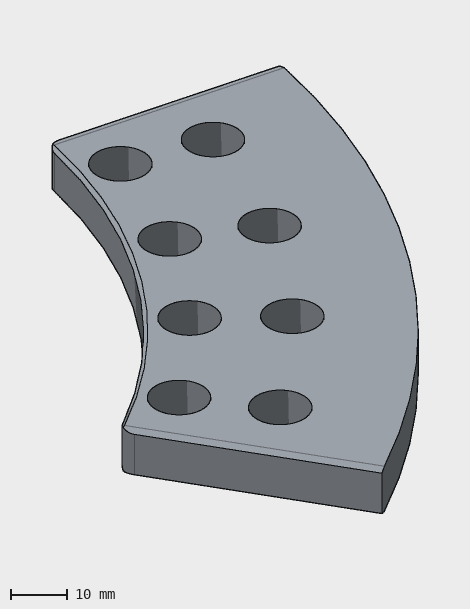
import cadquery as cq
import math

span_y = 122.1
sector_angle = 47.7
thickness = 9.5
outer_radius = span_y / math.sin(math.radians(sector_angle))
inner_radius = 116.5
corner_radius = 3.0

end_break_width = 1.6
end_break_height = 0.5
inner_break = 0.7

hole_diameter = 11.2
hole_circle_radii = (124.7, 142.8)
hole_pair_count = 4


def polar_point(radius, angle):
    """Point in the XY plane at the given radius and angle in degrees."""
    angle_rad = math.radians(angle)
    return radius * math.cos(angle_rad), radius * math.sin(angle_rad)


def sharp_sector():
    """Plate with plain radial ends and concentric curved sides."""
    return (
        cq.Workplane("XY")
        .moveTo(inner_radius, 0)
        .lineTo(outer_radius, 0)
        .threePointArc(polar_point(outer_radius, sector_angle / 2), polar_point(outer_radius, sector_angle))
        .lineTo(*polar_point(inner_radius, sector_angle))
        .threePointArc(polar_point(inner_radius, sector_angle / 2), (inner_radius, 0))
        .close()
        .extrude(thickness)
    )


def rounded_sector():
    """Plate with its two inner upright corners rounded."""
    corner_points = [polar_point(inner_radius, angle) for angle in (0, sector_angle)]
    plate = sharp_sector()
    for x, y in corner_points:
        corner_edge = cq.selectors.NearestToPointSelector((x, y, thickness / 2))
        plate = plate.edges("|Z").edges(corner_edge).fillet(corner_radius)
    return plate


def end_envelope():
    """Block whose lower end, at y = 0, has its top and bottom edges broken."""
    far_y = 2 * span_y
    profile = [
        (0, end_break_height),
        (end_break_width, 0),
        (far_y, 0),
        (far_y, thickness),
        (end_break_width, thickness),
        (0, thickness - end_break_height),
    ]
    return cq.Workplane("YZ").polyline(profile).close().extrude(2 * outer_radius)


def inner_envelope():
    """Full ring whose bore has its top and bottom edges broken."""
    far_radius = 2 * outer_radius
    profile = [
        (inner_radius, inner_break),
        (inner_radius + inner_break, 0),
        (far_radius, 0),
        (far_radius, thickness),
        (inner_radius + inner_break, thickness),
        (inner_radius, thickness - inner_break),
    ]
    return cq.Workplane("XZ").polyline(profile).close().revolve(360, (0, 0, 0), (0, 1, 0))


first_end = end_envelope()
second_end = first_end.mirror("XZ").rotate((0, 0, 0), (0, 0, 1), sector_angle)
plate = rounded_sector().intersect(inner_envelope()).intersect(first_end).intersect(second_end)

pair_pitch = sector_angle / hole_pair_count
hole_centres = [
    polar_point(radius, (pair + 0.5) * pair_pitch)
    for pair in range(hole_pair_count)
    for radius in hole_circle_radii
]
holes = cq.Workplane("XY").pushPoints(hole_centres).circle(hole_diameter / 2).extrude(thickness)

result = plate.cut(holes)